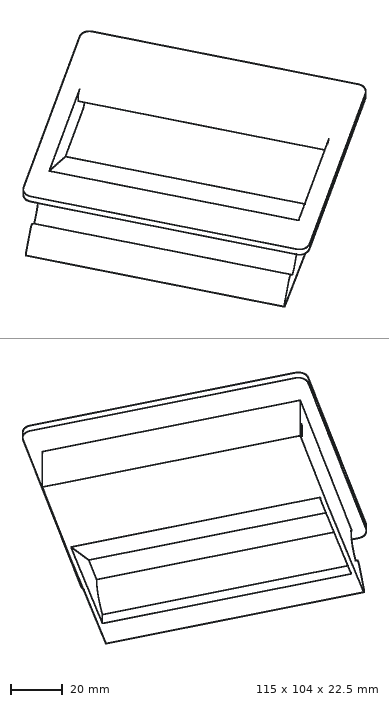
import cadquery as cq
import math

plate_width = 115.0
plate_depth = 91.0
plate_thickness = 3.0
plate_corner_radius = 4.0
plate_rear = plate_depth

total_height = 22.5
total_depth = 104.0
body_width = 104.0
rear_overhang = 12.2
body_rear = plate_rear - rear_overhang
nose_tip = plate_rear - total_depth

slope_start = 38.8
slope_rise = 2.2

groove_top_y = 4.6
groove_back_y = 5.6
groove_back_z = -5.9
groove_radius = 11.5
groove_top_radius = 2.3
groove_end_y = -0.9
groove_end_z = -14.0
nose_top_z = -18.5
lip_round = 2.1
nose_upper_round = 1.5
nose_lower_round = 1.0

pocket_width = 100.3
pocket_front = 15.0
pocket_length = 45.1
pocket_rear = pocket_front + pocket_length
pocket_depth = 16.6
pocket_slope_length = 24.0
pocket_floor_front = pocket_front + pocket_slope_length
pocket_lip_round = 2.0
pocket_lip_height = 6.0
pocket_undercut = 7.1
pocket_floor_fillet = 2.3

wall = 2.0
cavity_roof = plate_thickness + wall

slot_rear_gap = 1.7
slot_width = 0.9
slot_height = 5.9
slot_base = 2.3


def extrude_across(profile, width):
    """Extrude a closed YZ profile symmetrically about X = 0."""
    return profile.extrude(width / 2, both=True)


def make_plate():
    plate = cq.Workplane("XY").rect(plate_width, plate_depth).extrude(-plate_thickness)
    plate = plate.edges("|Z").fillet(plate_corner_radius)
    return plate.translate((0, plate_depth / 2, 0))


def make_body():
    groove_back = (groove_back_y, groove_back_z)
    groove_end = (groove_end_y, groove_end_z)
    groove_top = (groove_top_y, -plate_thickness)
    lip_peak_y = (groove_end_y + groove_end_z + nose_tip - nose_top_z) / 2
    lip_peak_z = nose_top_z + lip_peak_y - nose_tip
    profile = (
        cq.Workplane("YZ")
        .moveTo(body_rear, -plate_thickness)
        .lineTo(body_rear, -total_height)
        .lineTo(slope_start, -total_height)
        .lineTo(nose_tip, slope_rise - total_height)
        .lineTo(nose_tip, nose_top_z)
        .lineTo(lip_peak_y, lip_peak_z)
        .lineTo(*groove_end)
        .radiusArc(groove_back, -groove_radius)
        .radiusArc(groove_top, -groove_top_radius)
        .close()
    )
    body = extrude_across(profile, body_width)
    lip_edge = cq.selectors.NearestToPointSelector((0, lip_peak_y, lip_peak_z))
    nose_upper_edge = cq.selectors.NearestToPointSelector((0, nose_tip, nose_top_z))
    nose_lower_edge = cq.selectors.NearestToPointSelector((0, nose_tip, slope_rise - total_height))
    body = body.edges(lip_edge).fillet(lip_round)
    body = body.edges(nose_upper_edge).fillet(nose_upper_round)
    return body.edges(nose_lower_edge).fillet(nose_lower_round)


def make_pocket():
    pocket_back = pocket_rear + pocket_undercut
    lip_face = pocket_rear - pocket_lip_round
    profile = (
        cq.Workplane("YZ")
        .moveTo(pocket_front, 0)
        .lineTo(pocket_rear, 0)
        .radiusArc((lip_face, -pocket_lip_round), -pocket_lip_round)
        .lineTo(lip_face, pocket_lip_round - pocket_lip_height)
        .radiusArc((pocket_rear, -pocket_lip_height), -pocket_lip_round)
        .lineTo(pocket_back, -pocket_lip_height)
        .lineTo(pocket_back, pocket_floor_fillet - pocket_depth)
        .radiusArc((pocket_back - pocket_floor_fillet, -pocket_depth), pocket_floor_fillet)
        .lineTo(pocket_floor_front, -pocket_depth)
        .close()
    )
    return extrude_across(profile, pocket_width)


def make_underside_cavity():
    """Hollow behind the groove; its rear face runs parallel to the sloping pocket floor."""
    slope_run = pocket_slope_length / pocket_depth
    rear_shift = wall * math.hypot(1, slope_run)
    rear_face_start = pocket_front - rear_shift
    profile = (
        cq.Workplane("YZ")
        .moveTo(groove_end_y, -total_height)
        .lineTo(groove_end_y, groove_end_z - wall)
        .radiusArc((groove_back_y + wall, groove_back_z), -(groove_radius + wall))
        .lineTo(groove_back_y + wall, -cavity_roof)
        .lineTo(rear_face_start + cavity_roof * slope_run, -cavity_roof)
        .lineTo(rear_face_start + total_height * slope_run, -total_height)
        .close()
    )
    return extrude_across(profile, pocket_width)


def make_slot():
    return (
        cq.Workplane("XY")
        .box(body_width, slot_width, slot_height, centered=(True, False, False))
        .translate((0, body_rear - slot_rear_gap - slot_width, slot_base - total_height))
    )


result = (
    make_plate()
    .union(make_body())
    .cut(make_pocket())
    .cut(make_underside_cavity())
    .cut(make_slot())
)